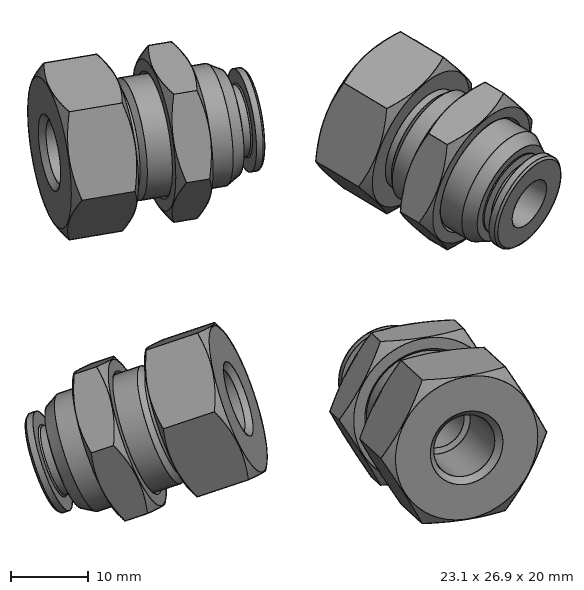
import cadquery as cq
import math


hex_across_flats = 20.0
hex_corner_radius = hex_across_flats / math.sqrt(3)
hex_face_radius = 9.9
hex_chamfer_angle = 30.0
head_length = 9.0
nut_start = 14.0
nut_length = 5.0
nut_countersink = 0.35

undercut_radius = 14.5 / 2
body_radius = 16.0 / 2
shoulder_radius = 14.0 / 2
collar_radius = 11.65 / 2
neck_radius = 9.4 / 2
release_radius = 13.5 / 2

overall_length = 26.95
undercut_end = 10.0
body_start = undercut_end + (body_radius - undercut_radius)
release_thickness = 1.2
release_chamfer = 0.3
neck_chamfer = 0.2
neck_length = 1.3
collar_cone_length = 0.25
collar_length = 0.2
shoulder_length = 1.75
release_start = overall_length - release_thickness
neck_start = release_start - neck_length
collar_end = neck_start - collar_cone_length
shoulder_end = collar_end - collar_length
shoulder_start = shoulder_end - shoulder_length

port_mouth_radius = 10.1 / 2
port_radius = 8.5 / 2
port_depth = head_length
port_tip_angle = 140.0
bore_radius = 7.0 / 2


def revolve_profile(points):
    """Revolve a closed (radius, Y) outline about the Y axis."""
    return cq.Workplane("XY").polyline(points).close().revolve(360, (0, 0, 0), (0, 1, 0))


def chamfered_hex(start, length):
    """Hexagon with its corners along X and both ends turned to a cone."""
    hexagon = (
        cq.Workplane("XZ", origin=(0, start, 0))
        .polygon(6, 2 * hex_corner_radius)
        .extrude(-length)
    )
    corner_drop = (hex_corner_radius - hex_face_radius) * math.tan(math.radians(hex_chamfer_angle))
    end = start + length
    envelope = revolve_profile([
        (0, start),
        (hex_face_radius, start),
        (hex_corner_radius, start + corner_drop),
        (hex_corner_radius, end - corner_drop),
        (hex_face_radius, end),
        (0, end),
    ])
    return hexagon.intersect(envelope)


def countersunk_nut():
    """Hex nut around the body, with its bore countersunk at both ends."""
    nut_end = nut_start + nut_length
    nut_bore = revolve_profile([
        (0, nut_start),
        (body_radius + nut_countersink, nut_start),
        (body_radius, nut_start + nut_countersink),
        (body_radius, nut_end - nut_countersink),
        (body_radius + nut_countersink, nut_end),
        (0, nut_end),
    ])
    return chamfered_hex(nut_start, nut_length).cut(nut_bore)


def turned_body():
    """Stepped body from inside the hex head to the release ring."""
    return revolve_profile([
        (0, 0),
        (undercut_radius, 0),
        (undercut_radius, undercut_end),
        (body_radius, body_start),
        (body_radius, shoulder_start),
        (shoulder_radius, shoulder_end),
        (collar_radius, shoulder_end),
        (collar_radius, collar_end),
        (neck_radius, neck_start),
        (neck_radius, release_start - neck_chamfer),
        (neck_radius + neck_chamfer, release_start),
        (release_radius, release_start),
        (release_radius, overall_length - release_chamfer),
        (release_radius - release_chamfer, overall_length),
        (0, overall_length),
    ])


def bore():
    """Through bore with a wider, countersunk port that ends in a drill cone."""
    mouth_depth = port_mouth_radius - port_radius
    tip_length = (port_radius - bore_radius) / math.tan(math.radians(port_tip_angle / 2))
    return revolve_profile([
        (0, 0),
        (port_mouth_radius, 0),
        (port_radius, mouth_depth),
        (port_radius, port_depth),
        (bore_radius, port_depth + tip_length),
        (bore_radius, overall_length),
        (0, overall_length),
    ])


head = chamfered_hex(0, head_length)
result = turned_body().union(head).union(countersunk_nut()).cut(bore())